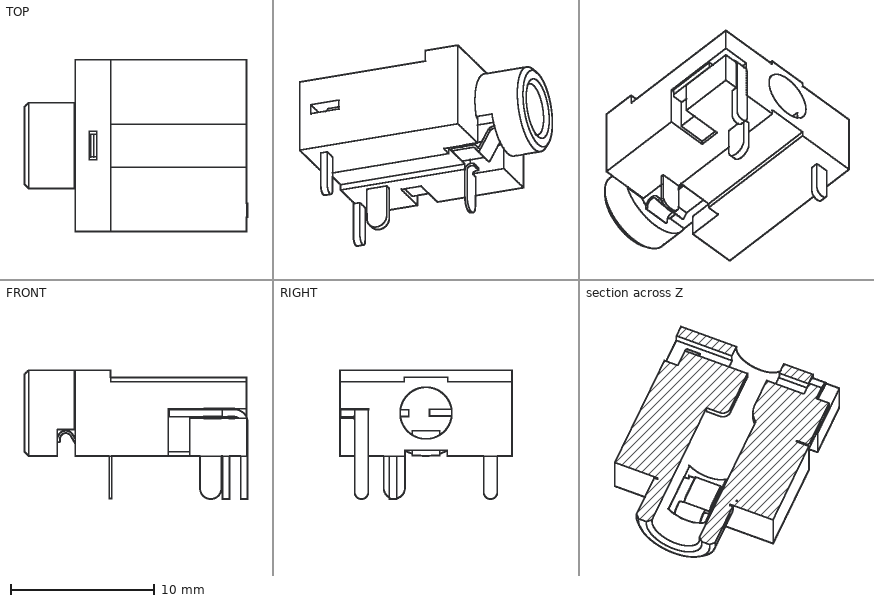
import cadquery as cq
import math


body_length = 11.95
body_width = 12.0
body_height = 6.0
front_wall_length = 2.47
ridge_width = 3.0
ridge_height = 5.5
shoulder_height = 5.2

barrel_diameter = 6.0
barrel_length = 3.5
neck_diameter = 5.5
neck_length = 0.05
bore_diameter = 3.6
barrel_chamfer = 0.3
axis_height = body_height / 2

groove_start = 0.98
groove_length = 0.52
groove_radius = 3.1
groove_floor_radius = 2.65
groove_rib_start = 1.08
groove_rib_length = 0.21
groove_rib_radius = 2.8
groove_reach = 2.0

notch_start = -1.24
notch_height = 1.85
pocket_width = 4.8
pocket_end = 2.55
channel_width = 2.94
channel_height = 0.4

recess_start = 6.5
recess_depth = 0.96
recess_top = 3.32
undercut_height = 0.3
undercut_depth = 3.0
block_start = 8.0
block_height = 2.64
cross_slot_start = 8.97
cross_slot_end = 11.1

pin_width = 0.97
pin_length = 3.0
pin_offset = 4.5
sheet_thickness = 0.5
bend_radius = 0.9
near_pin_rear = 12.03
far_pin_rear = 10.77
wide_pin_width = 1.5
front_pin_length = 2.97
blade_start = 8.7
blade_offset = 2.3

plate_start = 6.55
plate_end = 10.25
near_plate_bottom = 2.75
near_plate_outer = 5.95
near_plate_tip = 1.2
near_tip_round = 1.5
near_outer_round = 0.2
far_plate_bottom = 2.785
far_plate_tip = 0.23
far_tip_round = 0.57

spring_width = 1.92
spring_thickness = 0.18
arch_x = -0.66
arch_radius = 0.49
arch_z = 1.2
tip_z = 1.05
leg_angle = math.radians(60)
trough_z = 0.13
spring_rise = 0.3
spring_flat_z = 0.5
front_pin_offset = 2.21
front_pin_top = 0.36
front_bend_radius = 0.42
front_arm_start = 1.9


def box(x_range, y_range, z_range):
    """Axis-aligned box between the given limits."""
    size = [high - low for low, high in (x_range, y_range, z_range)]
    corner = (x_range[0], y_range[0], z_range[0])
    return cq.Workplane("XY").box(*size, centered=False).translate(corner)


def x_cylinder(start, length, radius):
    """Cylinder on the bore axis."""
    plane = cq.Workplane("YZ", origin=(start, 0, axis_height))
    return plane.circle(radius).extrude(length)


def make_housing():
    half = body_width / 2
    front_wall = box((0, front_wall_length), (-half, half), (0, body_height))
    rear = box((0, body_length), (-half, half), (0, shoulder_height))
    ridge = box((0, body_length), (-ridge_width / 2, ridge_width / 2), (0, ridge_height))
    return front_wall.union(rear).union(ridge)


def add_barrel(part):
    front = -neck_length - barrel_length
    barrel = x_cylinder(front, barrel_length, barrel_diameter / 2)
    barrel = barrel.faces("<X").chamfer(barrel_chamfer)
    neck = x_cylinder(-neck_length, 2 * neck_length, neck_diameter / 2)
    part = part.union(barrel).union(neck)
    bore = x_cylinder(front, body_length - front, bore_diameter / 2)
    part = part.cut(bore)
    mouth = cq.Solid.makeCone(
        bore_diameter / 2 + barrel_chamfer,
        bore_diameter / 2,
        barrel_chamfer,
        pnt=cq.Vector(front, 0, axis_height),
        dir=cq.Vector(1, 0, 0),
    )
    return part.cut(cq.Workplane(mouth))


def cut_window(part):
    groove = x_cylinder(groove_start, groove_length, groove_radius)
    groove = groove.cut(x_cylinder(groove_start, groove_length, groove_floor_radius))
    groove = groove.cut(x_cylinder(groove_rib_start, groove_rib_length, groove_rib_radius))
    upper_part = box(
        (groove_start, groove_start + groove_length),
        (-groove_reach / 2, groove_reach / 2),
        (axis_height, axis_height + groove_radius),
    )
    return part.cut(groove.intersect(upper_part))


def cut_underside(part):
    barrel_half = barrel_diameter / 2
    notch = box((notch_start, 0), (-barrel_half, barrel_half), (0, notch_height))
    pocket = box((0, pocket_end), (-pocket_width / 2, pocket_width / 2), (0, notch_height))
    channel = box((0, body_length), (-channel_width / 2, channel_width / 2), (0, channel_height))
    return part.cut(notch).cut(pocket).cut(channel)


def cut_rear_recess(part):
    side = -body_width / 2
    inner = side + recess_depth
    recess = box((recess_start, body_length), (side, inner), (0, recess_top))
    block = box((block_start, body_length), (side, inner), (0, block_height))
    undercut = box((recess_start, block_start), (side, side + undercut_depth), (0, undercut_height))
    slot_z = (block_height, recess_top)
    cross_slot = box((cross_slot_start, cross_slot_end), (side, -side), slot_z)
    bend_slot = box((cross_slot_start, body_length), (side, -pin_offset + pin_width / 2), slot_z)
    part = part.cut(recess).union(block)
    return part.cut(undercut).cut(cross_slot).cut(bend_slot)


def round_pin(rear, thickness, center_y, width, length, top):
    """Flat pin facing X with a fully rounded lower end."""
    round_z = width / 2 - length
    shank = box((rear - thickness, rear), (center_y - width / 2, center_y + width / 2), (round_z, top))
    plane = cq.Workplane("YZ", origin=(rear - thickness, center_y, round_z))
    return shank.union(plane.circle(width / 2).extrude(thickness))


def bent_pin(rear, thickness, center_y, width, length, top, radius, arm_start):
    """Round-ended pin bent forward at its top into a flat arm; radius is that of the outer bend."""
    center_x = rear - radius
    center_z = top - radius
    inner = radius - thickness
    diagonal = math.sqrt(0.5)
    bend = (
        cq.Workplane("XZ", origin=(center_x, center_y + width / 2, center_z))
        .moveTo(0, radius)
        .threePointArc((radius * diagonal, radius * diagonal), (radius, 0))
        .lineTo(inner, 0)
        .threePointArc((inner * diagonal, inner * diagonal), (0, inner))
        .close()
        .extrude(width)
    )
    arm_y = (center_y - width / 2, center_y + width / 2)
    arm = box((arm_start, center_x), arm_y, (top - thickness, top))
    pin = round_pin(rear, thickness, center_y, width, length, center_z)
    return pin.union(bend).union(arm)


def add_side_contacts(part):
    plate_x = (plate_start, plate_end)
    near_top = near_plate_bottom + sheet_thickness
    near = box(plate_x, (-near_plate_outer, -near_plate_tip), (near_plate_bottom, near_top))
    near = near.edges("|Z and <X and >Y").fillet(near_tip_round)
    near = near.edges("|Z and <X and <Y").fillet(near_outer_round)
    far_top = far_plate_bottom + sheet_thickness
    far = box(plate_x, (far_plate_tip, pin_offset + pin_width / 2), (far_plate_bottom, far_top))
    far = far.edges("|Z and <X and <Y").fillet(far_tip_round)
    part = part.union(near).union(far)
    arm_start = far_pin_rear - bend_radius - sheet_thickness
    near_place = (near_pin_rear, -pin_offset, near_top)
    far_place = (far_pin_rear, pin_offset, far_top)
    for rear, center_y, top in (near_place, far_place):
        pin = bent_pin(rear, sheet_thickness, center_y, pin_width, pin_length, top, bend_radius, arm_start)
        part = part.union(pin)
    return part


def add_blade_pin(part):
    """Wide round-ended pin facing Y."""
    center_x = blade_start + wide_pin_width / 2
    blade = round_pin(sheet_thickness / 2, sheet_thickness, 0, wide_pin_width, pin_length, undercut_height)
    blade = blade.rotate((0, 0, 0), (0, 0, 1), 90).translate((center_x, -blade_offset, 0))
    return part.union(blade)


def spring_segment(start, end, y_range):
    """Straight round-ended strip between two (X, Z) points of its centre line."""
    dx = end[0] - start[0]
    dz = end[1] - start[1]
    length = math.hypot(dx, dz) + spring_thickness
    plane = cq.Workplane("XZ", origin=(0, y_range[1], 0))
    plane = plane.center((start[0] + end[0]) / 2, (start[1] + end[1]) / 2)
    outline = plane.slot2D(length, spring_thickness, math.degrees(math.atan2(dz, dx)))
    return outline.extrude(y_range[1] - y_range[0])


def add_front_contact(part):
    half = spring_width / 2
    strip_y = (-half, half)
    arch_start = (arch_x - arch_radius, arch_z)
    leg_start = (arch_x + arch_radius * math.sin(leg_angle), arch_z + arch_radius * math.cos(leg_angle))
    leg_run = (leg_start[1] - trough_z) / math.tan(leg_angle)
    trough = (leg_start[0] + leg_run, trough_z)
    rise_end = (trough[0] + spring_rise, spring_flat_z)
    flat_end = (pocket_end, spring_flat_z)

    outer = arch_radius + spring_thickness / 2
    inner = arch_radius - spring_thickness / 2
    side = math.sin(leg_angle)
    rise = math.cos(leg_angle)
    arch = (
        cq.Workplane("XZ", origin=(arch_x, half, arch_z))
        .moveTo(-outer, 0)
        .threePointArc((0, outer), (outer * side, outer * rise))
        .lineTo(inner * side, inner * rise)
        .threePointArc((0, inner), (-inner, 0))
        .close()
        .extrude(spring_width)
    )
    tip = spring_segment((arch_start[0], tip_z), arch_start, strip_y)
    leg = spring_segment(leg_start, trough, strip_y)
    riser = spring_segment(trough, rise_end, strip_y)
    flat = spring_segment(rise_end, flat_end, strip_y)
    pin = bent_pin(
        pocket_end,
        spring_thickness,
        -front_pin_offset,
        wide_pin_width,
        front_pin_length,
        front_pin_top,
        front_bend_radius,
        front_arm_start,
    )
    for piece in (arch, tip, leg, riser, flat, pin):
        part = part.union(piece)
    return part


result = make_housing()
result = add_barrel(result)
result = cut_window(result)
result = cut_underside(result)
result = cut_rear_recess(result)
result = add_side_contacts(result)
result = add_blade_pin(result)
result = add_front_contact(result)